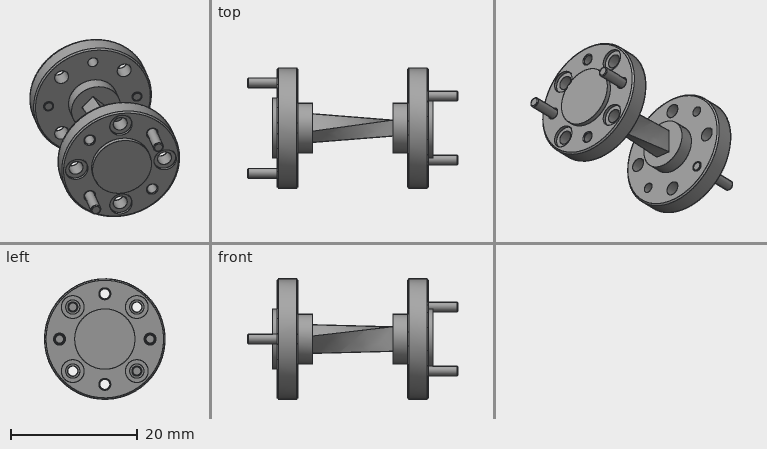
import cadquery as cq
import math


TWIST = 45.0

OVERALL_LENGTH = 25.4
MATING_BOSS_HEIGHT = 0.76
FLANGE_THICKNESS = 3.3
TUBE_LENGTH = 12.7

FLANGE_DIAMETER = 19.05
MATING_BOSS_DIAMETER = 9.525
HUB_DIAMETER = 7.9
FLANGE_CHAMFER = 0.25

TUBE_WIDTH = 2.54
TUBE_HEIGHT = 3.9

HOLE_CIRCLE_RADIUS = 14.2875 / 2
HOLES_OF_A_KIND = 4
SCREW_HOLE_DIAMETER = 2.25
COUNTERBORE_DIAMETER = 3.6
COUNTERBORE_DEPTH = 0.5
DOWEL_HOLE_CHAMFER = 0.15

PIN_DIAMETER = 1.5875
PIN_LENGTH = 7.9375
PIN_CHAMFER = 0.15

mating_face = OVERALL_LENGTH / 2
flange_outer_face = mating_face - MATING_BOSS_HEIGHT
flange_inner_face = flange_outer_face - FLANGE_THICKNESS
hub_face = TUBE_LENGTH / 2

hole_step = 360.0 / HOLES_OF_A_KIND
half_step = hole_step / 2


def disc(start, end, diameter):
    """Cylinder on the X axis between two stations."""
    return cq.Workplane("YZ", origin=(start, 0, 0)).circle(diameter / 2).extrude(end - start)


def circle_point(angle):
    """Point (Y, Z) on the hole circle."""
    turn = math.radians(angle)
    return (HOLE_CIRCLE_RADIUS * math.cos(turn), HOLE_CIRCLE_RADIUS * math.sin(turn))


def hole_points(first_angle):
    """Evenly spaced points on the hole circle."""
    return [circle_point(first_angle + i * hole_step) for i in range(HOLES_OF_A_KIND)]


def outer_face_plane(depth=0.0):
    """Sketch plane the given depth below the outer face of the right flange."""
    return cq.Workplane("YZ", origin=(flange_outer_face - depth, 0, 0))


def right_flange(dowel_angle):
    """Flange on the +X side, with its first dowel hole at the given angle."""
    flange = disc(flange_inner_face, flange_outer_face, FLANGE_DIAMETER)
    flange = flange.edges().chamfer(FLANGE_CHAMFER)
    flange = flange.union(disc(flange_outer_face, mating_face, MATING_BOSS_DIAMETER))
    flange = flange.union(disc(hub_face, flange_inner_face, HUB_DIAMETER))

    screw_points = hole_points(dowel_angle + half_step)
    screw_holes = (
        outer_face_plane().pushPoints(screw_points)
        .circle(SCREW_HOLE_DIAMETER / 2).extrude(-FLANGE_THICKNESS)
    )
    counterbores = (
        outer_face_plane(COUNTERBORE_DEPTH).pushPoints(screw_points)
        .circle(COUNTERBORE_DIAMETER / 2).extrude(COUNTERBORE_DEPTH)
    )

    dowel_holes = (
        outer_face_plane().pushPoints(hole_points(dowel_angle))
        .circle(PIN_DIAMETER / 2).extrude(-FLANGE_THICKNESS)
    )
    flange = flange.cut(screw_holes).cut(counterbores).cut(dowel_holes)
    for y, z in hole_points(dowel_angle):
        lead_in = cq.Solid.makeCone(
            PIN_DIAMETER / 2,
            PIN_DIAMETER / 2 + DOWEL_HOLE_CHAMFER,
            DOWEL_HOLE_CHAMFER,
            cq.Vector(flange_outer_face - DOWEL_HOLE_CHAMFER, y, z),
            cq.Vector(1, 0, 0),
        )
        flange = flange.cut(cq.Workplane(lead_in))
    return flange


def tube_section(x, angle):
    """Rectangular tube outline at station x, turned about the X axis."""
    turn = math.radians(angle)
    corners = []
    for side, level in [(-1, -1), (1, -1), (1, 1), (-1, 1)]:
        y = side * TUBE_WIDTH / 2
        z = level * TUBE_HEIGHT / 2
        corners.append(cq.Vector(
            x,
            y * math.cos(turn) - z * math.sin(turn),
            y * math.sin(turn) + z * math.cos(turn),
        ))
    return cq.Wire.makePolygon(corners, close=True)


def twisted_tube():
    """Tube whose corners run straight from one turned end to the other."""
    sections = [tube_section(-hub_face, TWIST), tube_section(hub_face, 0)]
    return cq.Workplane(cq.Solid.makeLoft(sections, True))


def right_pin(angle):
    """Dowel pin in the +X flange, flush with the flange's inner face."""
    y, z = circle_point(angle)
    pin = cq.Workplane("YZ", origin=(flange_inner_face, y, z)).circle(PIN_DIAMETER / 2)
    return pin.extrude(PIN_LENGTH).edges().chamfer(PIN_CHAMFER)


def to_left(body):
    """Mirror image of a +X body on the -X side."""
    return body.mirror("YZ")


left_dowel_angle = 0.0
right_dowel_angle = left_dowel_angle + TWIST
opposite = 180.0

housing = twisted_tube()
housing = housing.union(right_flange(right_dowel_angle))
housing = housing.union(to_left(right_flange(left_dowel_angle)))

pins = []
for turn in (0.0, opposite):
    pins.append(right_pin(right_dowel_angle + turn))
    pins.append(to_left(right_pin(left_dowel_angle + turn)))

result = cq.Compound.makeCompound([housing.val(), *[pin.val() for pin in pins]])